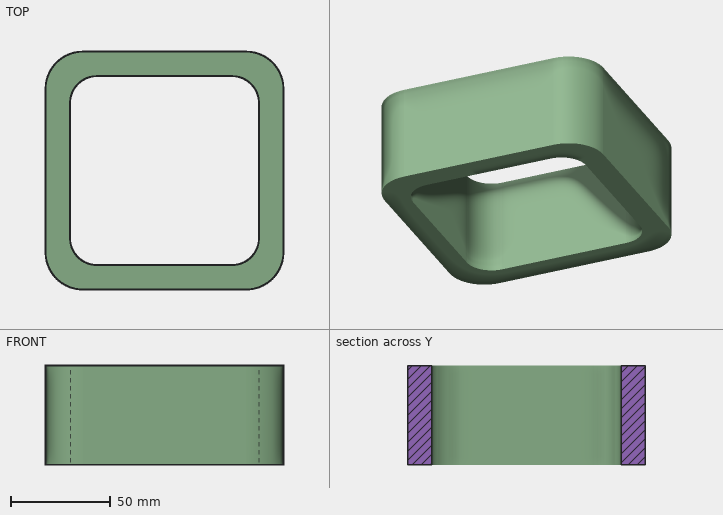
import cadquery as cq

outer_side = 120.0
height = 50.0
wall = 12.5
outer_corner_radius = 19.0
inner_corner_radius = 13.5

inner_side = outer_side - 2 * wall


def rounded_square_block(side, corner_radius):
    """Square block of the full height with rounded vertical edges."""
    block = cq.Workplane("XY").box(side, side, height)
    return block.edges("|Z").fillet(corner_radius)


outer_body = rounded_square_block(outer_side, outer_corner_radius)
through_opening = rounded_square_block(inner_side, inner_corner_radius)

result = outer_body.cut(through_opening)